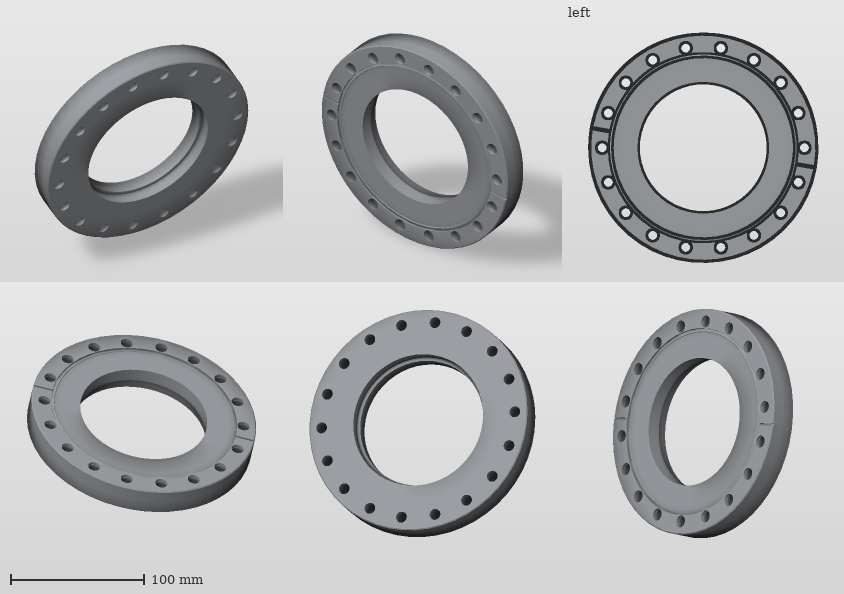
import cadquery as cq
import math

outer_diameter = 171.45
thickness = 21.34
edge_chamfer = 0.76
face_x = -thickness / 2
back_x = thickness / 2

bore_diameter = 96.9
socket_diameter = 102.1
socket_depth = 9.3

recess_diameter = 141.9
knife_diameter = 137.0
knife_root_diameter = 136.2
knife_tip_depth = 0.6
knife_slope_angle = 20.0
inner_floor_depth = 1.2

bolt_count = 18
bolt_circle_diameter = 151.9
bolt_hole_diameter = 8.4
bolt_relief_diameter = 9.1
bolt_relief_depth = 2.5
bolt_spacing_angle = 360.0 / bolt_count

groove_width = 1.6
groove_depth = 1.3
groove_angle = bolt_spacing_angle / 2


def make_body():
    """Plain disc with both outer edges chamfered."""
    disc = cq.Workplane("YZ", origin=(face_x, 0, 0)).circle(outer_diameter / 2).extrude(thickness)
    return disc.faces("<X or >X").edges().chamfer(edge_chamfer)


def make_bore():
    """Through bore together with the wider socket at the back."""
    bore = cq.Workplane("YZ", origin=(face_x, 0, 0)).circle(bore_diameter / 2).extrude(thickness)
    socket = (
        cq.Workplane("YZ", origin=(back_x - socket_depth, 0, 0))
        .circle(socket_diameter / 2)
        .extrude(socket_depth)
    )
    return bore.union(socket)


def make_sealing_recess():
    """Ring-shaped recess, drawn as a half section in (x, radius) and revolved about X."""
    slope_width = (recess_diameter - knife_diameter) / 2
    slope_drop = slope_width * math.tan(math.radians(knife_slope_angle))
    section = [
        (face_x, 0),
        (face_x, recess_diameter / 2),
        (face_x + knife_tip_depth + slope_drop, recess_diameter / 2),
        (face_x + knife_tip_depth, knife_diameter / 2),
        (face_x + inner_floor_depth, knife_root_diameter / 2),
        (face_x + inner_floor_depth, 0),
    ]
    return cq.Workplane("XY").polyline(section).close().revolve(360, (0, 0, 0), (1, 0, 0))


def make_hole_ring(diameter, depth):
    """Ring of holes sunk from the sealing face, the first one on the +Y axis."""
    return (
        cq.Workplane("YZ", origin=(face_x, 0, 0))
        .polarArray(bolt_circle_diameter / 2, 0, 360, bolt_count)
        .circle(diameter / 2)
        .extrude(depth)
    )


def make_leak_groove():
    """Shallow groove on both sides of the rim, leaving the sealing recess untouched."""
    bar = (
        cq.Workplane("YZ", origin=(face_x, 0, 0))
        .rect(outer_diameter, groove_width)
        .extrude(groove_depth)
        .rotate((0, 0, 0), (1, 0, 0), groove_angle)
    )
    center = cq.Workplane("YZ", origin=(face_x, 0, 0)).circle(recess_diameter / 2).extrude(groove_depth)
    return bar.cut(center)


result = (
    make_body()
    .cut(make_bore())
    .cut(make_sealing_recess())
    .cut(make_hole_ring(bolt_hole_diameter, thickness))
    .cut(make_hole_ring(bolt_relief_diameter, bolt_relief_depth))
    .cut(make_leak_groove())
)